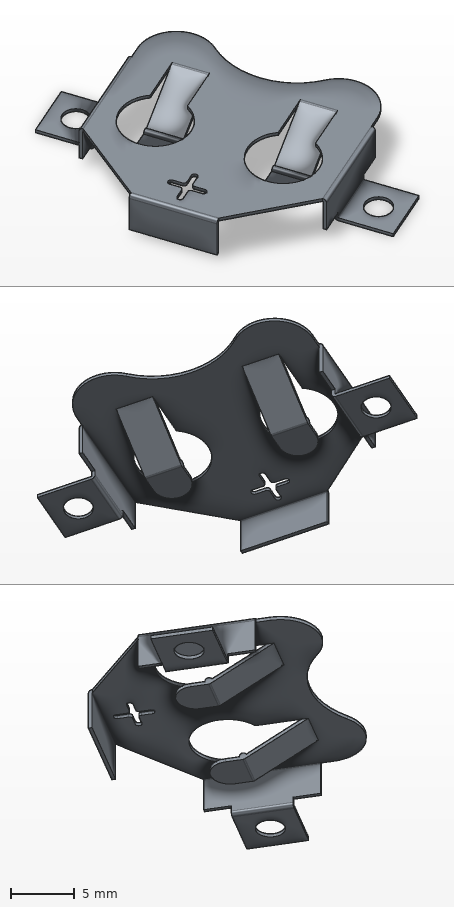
import cadquery as cq
import math


thickness = 0.3
fold_inner_radius = 0.03
fold_outer_radius = fold_inner_radius + thickness
overall_width = 30.67
overall_depth = 19.65
overall_height = 3.95

plate_half_width = 10.27
back_edge_y = 9.17
lobe_radius = 3.3
valley_y = 6.47

wall_length = 9.45
wall_height = 3.13
tab_width = 5.0
tab_hole_diameter = 2.35

front_wall_width = 7.55
front_wall_height = 3.6

spring_x = 5.5
spring_width = 3.2
spring_root_y = 5.37
spring_angle = math.radians(30)
spring_drop = 3.0
spring_tip_y = -2.95
spring_hole_radius = 3.07
spring_hole_y = -1.53

cross_y = -7.73
cross_length = 3.3
cross_slot_width = 0.52
cross_corner_radius = 0.25

wall_outer_x = plate_half_width + fold_outer_radius
tab_hole_x = (wall_outer_x + overall_width / 2) / 2
front_fold_y = back_edge_y - overall_depth + fold_outer_radius
lobe_x = plate_half_width - lobe_radius
lobe_y = back_edge_y - lobe_radius


def box_between(x_range, y_range, z_range):
    sizes = [high - low for low, high in (x_range, y_range, z_range)]
    corner = cq.Vector(x_range[0], y_range[0], z_range[0])
    return cq.Workplane("XY").box(*sizes, centered=False).translate(corner)


def make_plate():
    """Flat plate: two round lobes at the back joined by a tangent valley, tapered at the front."""
    rise = lobe_y - valley_y
    valley_radius = (lobe_x**2 + rise**2 - lobe_radius**2) / (2 * (lobe_radius + rise))
    lobe_share = lobe_radius / (lobe_radius + valley_radius)
    touch_x = lobe_x * (1 - lobe_share)
    touch_y = lobe_y + lobe_share * (valley_y + valley_radius - lobe_y)
    return (
        cq.Workplane("XY")
        .moveTo(-front_wall_width / 2, front_fold_y)
        .lineTo(front_wall_width / 2, front_fold_y)
        .lineTo(plate_half_width, -wall_length / 2)
        .lineTo(plate_half_width, lobe_y)
        .threePointArc((lobe_x, back_edge_y), (touch_x, touch_y))
        .threePointArc((0, valley_y), (-touch_x, touch_y))
        .threePointArc((-lobe_x, back_edge_y), (-plate_half_width, lobe_y))
        .lineTo(-plate_half_width, -wall_length / 2)
        .close()
        .extrude(-thickness)
    )


def make_cross():
    """Cutter for the cross: two crossing round-ended slots with rounded inner corners."""
    mark = cq.Workplane("XY").center(0, cross_y)
    across = mark.slot2D(cross_length, cross_slot_width).extrude(-thickness)
    along = mark.slot2D(cross_length, cross_slot_width, 90).extrude(-thickness)
    inner_corners = cq.selectors.BoxSelector(
        (-cross_slot_width, cross_y - cross_slot_width, -thickness),
        (cross_slot_width, cross_y + cross_slot_width, 0),
    )
    return across.union(along).edges("|Z").edges(inner_corners).fillet(cross_corner_radius)


def round_corner(body, x, y, z, radius):
    """Round the edge of the body that lies nearest the given point."""
    return body.edges(cq.selectors.NearestToPointSelector((x, y, z))).fillet(radius)


def make_side_wall():
    """Wall on the +X side, folded down from the plate, with its outward mounting tab."""
    wall_inner_x = wall_outer_x - thickness
    plate_overlap_x = plate_half_width - thickness
    tab_top = thickness - overall_height
    wall = (
        cq.Workplane("XZ")
        .moveTo(plate_overlap_x, 0)
        .lineTo(wall_outer_x, 0)
        .lineTo(wall_outer_x, tab_top)
        .lineTo(overall_width / 2, tab_top)
        .lineTo(overall_width / 2, -overall_height)
        .lineTo(wall_inner_x, -overall_height)
        .lineTo(wall_inner_x, -thickness)
        .lineTo(plate_overlap_x, -thickness)
        .close()
        .extrude(wall_length / 2, both=True)
    )
    wall = round_corner(wall, wall_outer_x, 0, 0, fold_outer_radius)
    wall = round_corner(wall, wall_inner_x, 0, -thickness, fold_inner_radius)
    wall = round_corner(wall, wall_inner_x, 0, -overall_height, fold_outer_radius)
    wall = round_corner(wall, wall_outer_x, 0, tab_top, fold_inner_radius)

    x_range = (wall_inner_x, overall_width / 2)
    z_range = (-overall_height, -wall_height)
    wall = wall.cut(box_between(x_range, (tab_width / 2, wall_length / 2), z_range))
    wall = wall.cut(box_between(x_range, (-wall_length / 2, -tab_width / 2), z_range))
    hole = cq.Workplane("XY").center(tab_hole_x, 0).circle(tab_hole_diameter / 2).extrude(-overall_height)
    return wall.cut(hole)


def make_front_wall():
    """Wall folded down from the front edge of the plate."""
    outer_y = back_edge_y - overall_depth
    inner_y = outer_y + thickness
    plate_overlap_y = front_fold_y + thickness
    wall = (
        cq.Workplane("YZ")
        .moveTo(plate_overlap_y, 0)
        .lineTo(outer_y, 0)
        .lineTo(outer_y, -front_wall_height)
        .lineTo(inner_y, -front_wall_height)
        .lineTo(inner_y, -thickness)
        .lineTo(plate_overlap_y, -thickness)
        .close()
        .extrude(front_wall_width / 2, both=True)
    )
    wall = round_corner(wall, 0, outer_y, 0, fold_outer_radius)
    return round_corner(wall, 0, inner_y, -thickness, fold_inner_radius)


def make_spring_opening():
    """Cutter for one spring: a slot as wide as the spring, running into a round hole."""
    slot = box_between(
        (-spring_width / 2, spring_width / 2), (spring_hole_y, spring_root_y), (-thickness, 0)
    )
    hole = cq.Workplane("XY").center(0, spring_hole_y).circle(spring_hole_radius).extrude(-thickness)
    return slot.union(hole)


def make_spring():
    """Spring bent down from the slot end, ending in a level tongue with a round tip."""
    sine, cosine = math.sin(spring_angle), math.cos(spring_angle)
    half_sine, half_cosine = math.sin(spring_angle / 2), math.cos(spring_angle / 2)
    top_y = spring_root_y - thickness * sine
    top_z = thickness * cosine - thickness
    knuckle_y = top_y - (top_z + spring_drop) / math.tan(spring_angle)
    strip = (
        cq.Workplane("YZ")
        .moveTo(spring_root_y, 0)
        .threePointArc(
            (spring_root_y - thickness * half_sine, thickness * half_cosine - thickness), (top_y, top_z)
        )
        .lineTo(knuckle_y, -spring_drop)
        .lineTo(knuckle_y + thickness * sine, -spring_drop - thickness * cosine)
        .lineTo(spring_root_y, -thickness)
        .close()
        .extrude(spring_width / 2, both=True)
    )
    knuckle = (
        cq.Workplane("YZ")
        .center(knuckle_y, -spring_drop)
        .circle(thickness)
        .extrude(spring_width / 2, both=True)
    )
    tip_centre_y = spring_tip_y + spring_width / 2
    tongue = (
        cq.Workplane("XY", origin=(0, 0, -spring_drop))
        .moveTo(spring_width / 2, knuckle_y)
        .lineTo(spring_width / 2, tip_centre_y)
        .threePointArc((0, spring_tip_y), (-spring_width / 2, tip_centre_y))
        .lineTo(-spring_width / 2, knuckle_y)
        .close()
        .extrude(-thickness)
    )
    return strip.union(knuckle).union(tongue)


side_wall = make_side_wall()
spring_opening = make_spring_opening()
spring = make_spring()

result = make_plate().cut(make_cross()).union(make_front_wall())
result = result.union(side_wall).union(side_wall.mirror("YZ"))
for x in (-spring_x, spring_x):
    result = result.cut(spring_opening.translate((x, 0, 0)))
    result = result.union(spring.translate((x, 0, 0)))